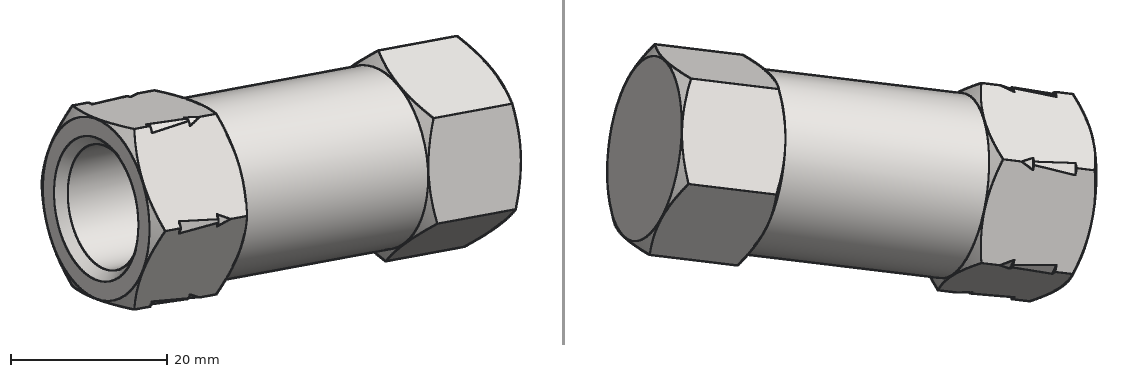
import cadquery as cq
import math

total_length = 58.0
across_corners = 27.7
body_diameter = 23.9

hex_sides = 6
front_hex_length = 15.0
back_hex_length = 14.5
back_hex_twist = 3.4
corner_radius = across_corners / 2
hex_face_radius = body_diameter / 2
hex_chamfer_angle = 30.0

bore_diameter = 16.4
bore_mouth_diameter = 18.9
bore_depth = 12.2
mouth_chamfer_depth = 1.3

arrow_tail = 3.6
arrow_head_base = 9.5
arrow_tip = 11.3
arrow_half_width = 0.8
shaft_tip_half_width = 0.25
cutter_width = 5.8
cutter_overhang = 0.6

front_y = -total_length / 2
back_y = total_length / 2


def chamfered_hex(start_y, length, corner_angle):
    """Hexagonal prism with its corners turned down to a cone at both ends."""
    prism = (
        cq.Workplane("XZ", origin=(0, start_y, 0))
        .polygon(hex_sides, across_corners)
        .extrude(-length)
        .rotate((0, 0, 0), (0, 1, 0), -corner_angle)
    )
    drop = (corner_radius - hex_face_radius) * math.tan(math.radians(hex_chamfer_angle))
    end_y = start_y + length
    envelope = (
        cq.Workplane("XY")
        .moveTo(0, start_y)
        .lineTo(hex_face_radius, start_y)
        .lineTo(corner_radius, start_y + drop)
        .lineTo(corner_radius, end_y - drop)
        .lineTo(hex_face_radius, end_y)
        .lineTo(0, end_y)
        .close()
        .revolve(360, (0, 0, 0), (0, 1, 0))
    )
    return prism.intersect(envelope)


def bore_cutter():
    """Blind round bore with a conical mouth."""
    bore_radius = bore_diameter / 2
    return (
        cq.Workplane("XY")
        .moveTo(0, front_y)
        .lineTo(bore_mouth_diameter / 2, front_y)
        .lineTo(bore_radius, front_y + mouth_chamfer_depth)
        .lineTo(bore_radius, front_y + bore_depth)
        .lineTo(0, front_y + bore_depth)
        .close()
        .revolve(360, (0, 0, 0), (0, 1, 0))
    )


def arrow_floor_radius(half_width):
    """Radius at which a flat across a hexagon corner has the given half width."""
    return corner_radius - half_width * math.tan(math.pi / hex_sides)


def arrow_cutter():
    """Sloping flats across the +X corner, whose outline forms an arrow."""
    outer_radius = corner_radius + cutter_overhang
    return (
        cq.Workplane("XY")
        .moveTo(outer_radius, front_y + arrow_tail)
        .lineTo(arrow_floor_radius(arrow_half_width), front_y + arrow_tail)
        .lineTo(arrow_floor_radius(shaft_tip_half_width), front_y + arrow_head_base)
        .lineTo(arrow_floor_radius(arrow_half_width), front_y + arrow_head_base)
        .lineTo(corner_radius, front_y + arrow_tip)
        .lineTo(outer_radius, front_y + arrow_tip)
        .close()
        .extrude(cutter_width / 2, both=True)
    )


body = cq.Workplane("XZ", origin=(0, front_y, 0)).circle(body_diameter / 2).extrude(-total_length)
front_hex = chamfered_hex(front_y, front_hex_length, 0)
back_hex = chamfered_hex(back_y - back_hex_length, back_hex_length, 90 + back_hex_twist)

result = body.union(front_hex).union(back_hex).cut(bore_cutter())

for corner in range(hex_sides):
    result = result.cut(arrow_cutter().rotate((0, 0, 0), (0, 1, 0), corner * 360 / hex_sides))